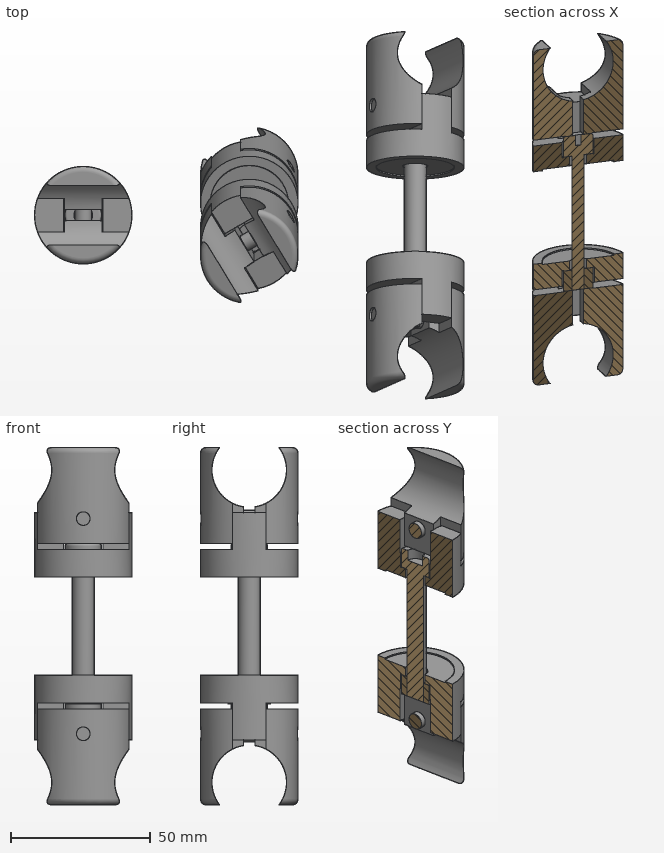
import cadquery as cq
import math

TOTAL_HEIGHT = 128.0
BODY_DIAMETER = 35.0
ENDS = (1, -1)
HALVES = (-1, 1)

SADDLE_TOP = TOTAL_HEIGHT / 2
BASE_BOTTOM = 17.5
BASE_THICKNESS = 10.0
BASE_TOP = BASE_BOTTOM + BASE_THICKNESS
SADDLE_GAP = 2.0
SADDLE_BOTTOM = BASE_TOP + SADDLE_GAP
PRONG_TOP = 40.7
PIN_AXIS = 38.5
TUBE_AXIS = 56.0

PRONG_WIDTH = 12.0
PRONG_INNER_SPAN = 14.1
RECESS_DIAMETER = 28.0
RECESS_DEPTH = 0.5
BOLT_CLEARANCE_DIAMETER = 9.0
POCKET_CLEARANCE = 0.6

TUBE_DIAMETER = 26.6
TONGUE_LENGTH = 13.6
HALVES_GAP = 4.0
SADDLE_EDGE_RADIUS = 2.0

PIN_DIAMETER = 4.9
SPACER_DIAMETER = 6.0
PIN_INSET = 0.9

BOLT_DIAMETER = 8.0
HEAD_DIAMETER = 13.0
HEAD_HEIGHT = 8.0
HEAD_SEAT = SADDLE_BOTTOM - HEAD_HEIGHT
HEAD_EDGE_RADIUS = 0.9
SOCKET_DIAMETER = 6.7
SOCKET_DEPTH = 4.0
NUT_FLATS = HEAD_DIAMETER
NUT_STEP = 0.4


def disc(diameter, bottom, top):
    """Round disc on the Z axis between two levels."""
    return cq.Workplane("XY").workplane(offset=bottom).circle(diameter / 2).extrude(top - bottom)


def block(size_x, size_y, bottom, top):
    """Rectangular block centred on the Z axis between two levels."""
    return cq.Workplane("XY").workplane(offset=bottom).rect(size_x, size_y).extrude(top - bottom)


def hexagon(across_flats, bottom, top):
    """Hexagonal prism on the Z axis with two corners along Y."""
    across_corners = across_flats / math.cos(math.pi / 6)
    prism = cq.Workplane("XY").workplane(offset=bottom).polygon(6, across_corners).extrude(top - bottom)
    return prism.rotate((0, 0, 0), (0, 0, 1), 90)


def cross_cylinder(diameter, length):
    """Cylinder along Y, centred on the pin axis."""
    return cq.Workplane("XZ", origin=(0, length / 2, PIN_AXIS)).circle(diameter / 2).extrude(length)


def place(body, end):
    """Keep a body at the upper end, or mirror it to the lower end."""
    return body if end > 0 else body.mirror("XY")


def make_base(pocket):
    """Disc with two upright prongs, a shallow outer recess, a bolt hole and the given pocket."""
    prongs = disc(BODY_DIAMETER, BASE_BOTTOM, PRONG_TOP)
    prongs = prongs.intersect(block(BODY_DIAMETER, PRONG_WIDTH, BASE_BOTTOM, PRONG_TOP))
    prongs = prongs.cut(block(PRONG_INNER_SPAN, PRONG_WIDTH, BASE_TOP, PRONG_TOP))
    base = disc(BODY_DIAMETER, BASE_BOTTOM, BASE_TOP).union(prongs)
    base = base.cut(disc(RECESS_DIAMETER, BASE_BOTTOM, BASE_BOTTOM + RECESS_DEPTH))
    return base.cut(disc(BOLT_CLEARANCE_DIAMETER, BASE_BOTTOM, BASE_TOP)).cut(pocket)


def make_saddle_half(half):
    """One half of a cylinder that cradles a cross tube and fits between the prongs."""
    saddle = disc(BODY_DIAMETER, SADDLE_BOTTOM, SADDLE_TOP).faces(">Z").edges().fillet(SADDLE_EDGE_RADIUS)
    cradle = cq.Workplane("YZ", origin=(-BODY_DIAMETER / 2, 0, TUBE_AXIS)).circle(TUBE_DIAMETER / 2)
    cradle = cradle.extrude(BODY_DIAMETER)
    notches = block(BODY_DIAMETER, PRONG_WIDTH, SADDLE_BOTTOM, TUBE_AXIS)
    notches = notches.cut(block(TONGUE_LENGTH, PRONG_WIDTH, SADDLE_BOTTOM, TUBE_AXIS))
    pin_hole = cross_cylinder(PIN_DIAMETER, BODY_DIAMETER)
    one_side = block(BODY_DIAMETER, BODY_DIAMETER, SADDLE_BOTTOM, SADDLE_TOP)
    one_side = one_side.translate((0, half * (BODY_DIAMETER + HALVES_GAP) / 2, 0))
    return saddle.cut(cradle).cut(notches).cut(pin_hole).intersect(one_side)


def make_pin():
    """Cross pin with a thicker spacer between the saddle halves and sunken ends."""
    pin = cross_cylinder(PIN_DIAMETER, BODY_DIAMETER - 2 * PIN_INSET)
    spacer = cross_cylinder(SPACER_DIAMETER, HALVES_GAP)
    return pin.union(spacer)


def make_bolt():
    """Bolt with a round socket head at the upper end."""
    shank = disc(BOLT_DIAMETER, -SADDLE_BOTTOM, HEAD_SEAT)
    head = disc(HEAD_DIAMETER, HEAD_SEAT, SADDLE_BOTTOM).faces(">Z").edges().fillet(HEAD_EDGE_RADIUS)
    socket = disc(SOCKET_DIAMETER, SADDLE_BOTTOM - SOCKET_DEPTH, SADDLE_BOTTOM)
    return shank.union(head).cut(socket)


def make_nut():
    """Hexagonal nut with a round collar, modelled at the upper end."""
    collar = disc(HEAD_DIAMETER, HEAD_SEAT, SADDLE_BOTTOM)
    nut = collar.union(hexagon(NUT_FLATS, HEAD_SEAT, BASE_TOP + NUT_STEP))
    return nut.cut(disc(BOLT_DIAMETER, HEAD_SEAT, SADDLE_BOTTOM))


head_pocket = disc(HEAD_DIAMETER + POCKET_CLEARANCE, HEAD_SEAT, BASE_TOP)
nut_pocket = hexagon(NUT_FLATS + POCKET_CLEARANCE, HEAD_SEAT, BASE_TOP)

bolt = make_bolt()
nut = place(make_nut(), -1)
bases = [place(make_base(pocket), end) for pocket, end in zip((head_pocket, nut_pocket), ENDS)]
pins = [place(make_pin(), end) for end in ENDS]
saddle_halves = [place(make_saddle_half(half), end) for end in ENDS for half in HALVES]

bodies = [bolt, nut, *bases, *pins, *saddle_halves]
result = cq.Compound.makeCompound([body.val() for body in bodies])